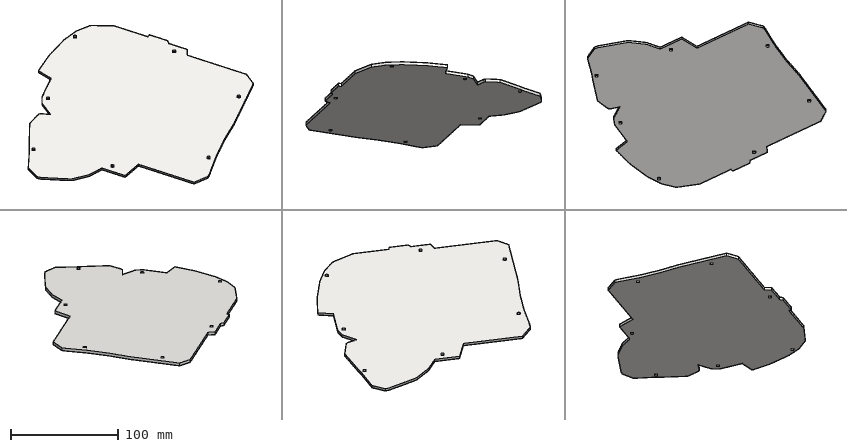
import cadquery as cq

width = 191.73
depth = 189.69
thickness = 3.0
hole_diameter = 3.0

shoulder_y = 187.1
right_top_y = 181.0
right_bottom_y = 48.0
step_y = 31.4
left_edge_x = 14.1

hollow_depth = 1.8
hollow_top_y = 124.3
hollow_bottom_y = 63.0
hollow_middle = (width - hollow_depth, (hollow_top_y + hollow_bottom_y) / 2)

wing_and_top = [
    (0, 113.2),
    (2.6, 132.0),
    (3.4, 135.3),
    (8.3, 151.9),
    (9.2, 155.0),
    (16.1, 168.6),
    (26.0, 179.3),
    (46.7, shoulder_y),
    (80.5, shoulder_y),
    (81.0, depth),
    (99.4, depth),
    (101.7, shoulder_y),
    (120.1, shoulder_y),
    (122.7, right_top_y),
    (181.9, right_top_y),
    (width, 173.5),
    (width, hollow_top_y),
]

lower_right = [
    (width, 59.2),
    (182.1, right_bottom_y),
    (126.2, right_bottom_y),
    (119.6, step_y),
    (96.2, step_y),
]

thumb_lobe = [
    (88.1, 20.1),
    (75.3, 9.9),
    (72.9, 8.8),
    (47.2, 0.4),
    (43.8, 0),
    (42.3, 0.7),
    (32.1, 6.5),
    (26.2, 24.1),
    (25.2, 26.6),
    (23.4, 30.6),
    (14.7, 54.0),
    (16.4, 59.7),
    (18.5, 67.0),
    (20.0, 68.3),
]

left_notch = [
    (29.0, 70.9),
    (16.8, 79.9),
    (left_edge_x, 86.5),
    (left_edge_x, 109.5),
]

hole_centres = [
    (17.3, 162.2),
    (109.5, 180.7),
    (184.6, 154.8),
    (184.2, 79.4),
    (104.4, 37.3),
    (29.0, 28.1),
    (19.9, 87.3),
]


def make_plate():
    return (
        cq.Workplane("XY")
        .polyline(wing_and_top)
        .threePointArc(hollow_middle, (width, hollow_bottom_y))
        .polyline(lower_right + thumb_lobe + left_notch, includeCurrent=True)
        .close()
        .extrude(thickness)
    )


def drill_holes(plate):
    return plate.faces(">Z").workplane(origin=(0, 0, thickness)).pushPoints(hole_centres).hole(hole_diameter)


result = drill_holes(make_plate())